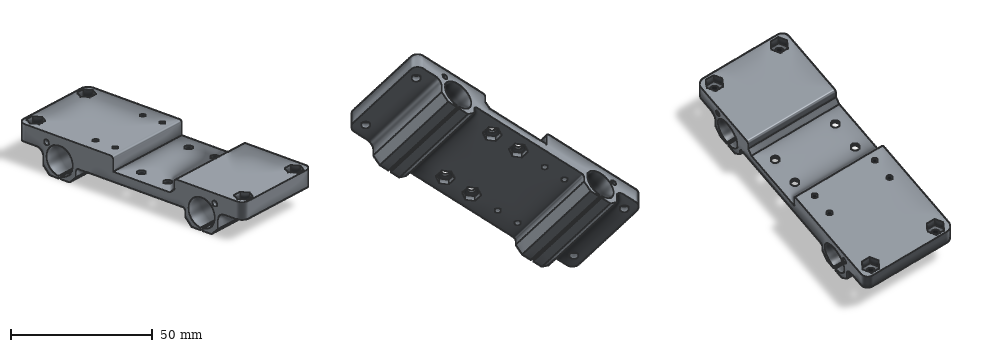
import cadquery as cq
import math

LENGTH = 103.0
WIDTH = 38.0
HEIGHT = 16.5
CORNER_RADIUS = 3.0

TOP_Z = HEIGHT
END_FLANGE_THICKNESS = 7.0
FLANGE_Z = TOP_Z - END_FLANGE_THICKNESS
POCKET_DEPTH = 6.0
POCKET_FLOOR_Z = TOP_Z - POCKET_DEPTH
WEB_THICKNESS = 4.0
WEB_Z = POCKET_FLOOR_Z - WEB_THICKNESS

POCKET_LEFT = -8.0
POCKET_RIGHT = 20.0
POCKET_CENTER = (POCKET_LEFT + POCKET_RIGHT) / 2
POCKET_RIM_RADIUS = 1.2
POCKET_BEVEL = 2.0

CLAMP_X = 32.5
CLAMP_HALF_WIDTH = 7.5
CLAMP_CHAMFER = 3.0
CLAMP_OUTER_FILLET = 3.0
CLAMP_INNER_FILLET = 1.2
BORE_DIAMETER = 12.0
BORE_Z = 7.0
SLIT_WIDTH = 1.0

SIDE_HOLE_DIAMETER = 2.2
SIDE_HOLE_X = 38.5
SIDE_HOLE_BELOW_TOP = 4.0
SIDE_HOLE_Z = TOP_Z - SIDE_HOLE_BELOW_TOP

BOLT_DIAMETER = 3.2
BOLT_EDGE_X = 4.0
BOLT_SPACING_X = LENGTH - 2 * BOLT_EDGE_X
BOLT_SPACING_Y = 28.0
NUT_SIDES = 6
NUT_ACROSS_FLATS = 5.9
NUT_CORNER_RADIUS = NUT_ACROSS_FLATS / math.sqrt(3)
TOP_NUT_DEPTH = 4.0
WEB_NUT_DEPTH = 2.5

GROUP_SPACING_Y = 26.0
POCKET_HOLE_SPACING = 12.0
PLATE_HOLE_DIAMETER = 2.2
PLATE_HOLE_SPACING = 9.0
PLATE_HOLE_CENTER = -16.5


def plate_slab():
    """Full-length upper slab with rounded vertical corners."""
    return (
        cq.Workplane("XY", origin=(0, 0, FLANGE_Z))
        .rect(LENGTH, WIDTH)
        .extrude(END_FLANGE_THICKNESS)
        .edges("|Z")
        .fillet(CORNER_RADIUS)
    )


def underside_block():
    """Web and both clamps below the flanges, blended into the end flanges."""
    outer = CLAMP_X + CLAMP_HALF_WIDTH
    inner = CLAMP_X - CLAMP_HALF_WIDTH
    half_block = (
        cq.Workplane("XZ", origin=(0, WIDTH / 2, 0))
        .moveTo(0, FLANGE_Z)
        .lineTo(outer + CLAMP_OUTER_FILLET, FLANGE_Z)
        .radiusArc((outer, FLANGE_Z - CLAMP_OUTER_FILLET), -CLAMP_OUTER_FILLET)
        .lineTo(outer, CLAMP_CHAMFER)
        .lineTo(outer - CLAMP_CHAMFER, 0)
        .lineTo(inner + CLAMP_CHAMFER, 0)
        .lineTo(inner, CLAMP_CHAMFER)
        .lineTo(inner, WEB_Z - CLAMP_INNER_FILLET)
        .radiusArc((inner - CLAMP_INNER_FILLET, WEB_Z), -CLAMP_INNER_FILLET)
        .lineTo(0, WEB_Z)
        .close()
        .extrude(WIDTH)
    )
    return half_block.union(half_block.mirror("YZ"))


def pocket():
    """Cutter for the cross pocket, with rounded rims and one bevelled foot."""
    rim_z = TOP_Z - POCKET_RIM_RADIUS
    return (
        cq.Workplane("XZ", origin=(0, WIDTH / 2, 0))
        .moveTo(POCKET_LEFT, POCKET_FLOOR_Z)
        .lineTo(POCKET_RIGHT - POCKET_BEVEL, POCKET_FLOOR_Z)
        .lineTo(POCKET_RIGHT, POCKET_FLOOR_Z + POCKET_BEVEL)
        .lineTo(POCKET_RIGHT, rim_z)
        .radiusArc((POCKET_RIGHT + POCKET_RIM_RADIUS, TOP_Z), POCKET_RIM_RADIUS)
        .lineTo(POCKET_LEFT - POCKET_RIM_RADIUS, TOP_Z)
        .radiusArc((POCKET_LEFT, rim_z), POCKET_RIM_RADIUS)
        .close()
        .extrude(WIDTH)
    )


def clamp_openings(side):
    """Cutter for one clamp: rod bore, slit below it and the small side hole."""
    plane = cq.Workplane("XZ", origin=(0, WIDTH / 2, 0))
    bore = plane.center(side * CLAMP_X, BORE_Z).circle(BORE_DIAMETER / 2).extrude(WIDTH)
    slit = plane.center(side * CLAMP_X, BORE_Z / 2).rect(SLIT_WIDTH, BORE_Z).extrude(WIDTH)
    side_hole = (
        plane.center(side * SIDE_HOLE_X, SIDE_HOLE_Z)
        .circle(SIDE_HOLE_DIAMETER / 2)
        .extrude(WIDTH)
    )
    return bore.union(slit).union(side_hole)


def hole_grid(center_x, spacing_x, spacing_y, diameter):
    """Cutter for a 2 x 2 grid of vertical through holes."""
    return (
        cq.Workplane("XY")
        .center(center_x, 0)
        .rarray(spacing_x, spacing_y, 2, 2)
        .circle(diameter / 2)
        .extrude(HEIGHT)
    )


def nut_grid(center_x, spacing_x, spacing_y, base_z, height):
    """Cutter for a 2 x 2 grid of hexagonal nut pockets, with corners pointing along Y."""
    corner_angles = [math.pi / 2 + 2 * math.pi * corner / NUT_SIDES for corner in range(NUT_SIDES)]
    corners = [
        (NUT_CORNER_RADIUS * math.cos(angle), NUT_CORNER_RADIUS * math.sin(angle))
        for angle in corner_angles
    ]
    hexagon = cq.Workplane("XY").polyline(corners).close().extrude(height)
    return (
        cq.Workplane("XY", origin=(center_x, 0, base_z))
        .rarray(spacing_x, spacing_y, 2, 2)
        .eachpoint(hexagon.val(), combine=False)
    )


result = plate_slab().union(underside_block()).cut(pocket())

for clamp_side in (-1, 1):
    result = result.cut(clamp_openings(clamp_side))

result = result.cut(hole_grid(0, BOLT_SPACING_X, BOLT_SPACING_Y, BOLT_DIAMETER))
result = result.cut(nut_grid(0, BOLT_SPACING_X, BOLT_SPACING_Y, TOP_Z - TOP_NUT_DEPTH, TOP_NUT_DEPTH))

result = result.cut(hole_grid(POCKET_CENTER, POCKET_HOLE_SPACING, GROUP_SPACING_Y, BOLT_DIAMETER))
result = result.cut(
    nut_grid(POCKET_CENTER, POCKET_HOLE_SPACING, GROUP_SPACING_Y, WEB_Z, WEB_NUT_DEPTH)
)

result = result.cut(
    hole_grid(PLATE_HOLE_CENTER, PLATE_HOLE_SPACING, GROUP_SPACING_Y, PLATE_HOLE_DIAMETER)
)